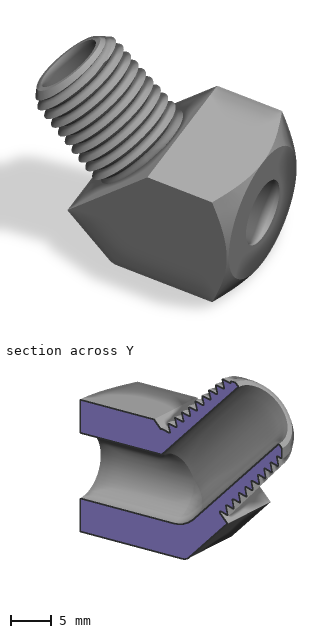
import cadquery as cq
import math

ELBOW_ANGLE = 45.0

BODY_WIDTH = 17.96
BODY_HEIGHT = 17.46
PORT_FACE_X = 14.21
SEAT_DISTANCE = 4.07
HEEL_DISTANCE = 7.54
HEEL_FILLET = 1.5
PORT_CHAMFER_ANGLE = 30.0
PORT_CHAMFER_FACE_RADIUS = BODY_HEIGHT / 2

STUD_LENGTH = 18.3
STUD_END_RADIUS = 5.0
CREST_RADIUS_AT_END = 6.42
TAPER = 1 / 32
PITCH = 25.4 / 18
THREAD_DEPTH = 1.08
THREAD_ANGLE = 60.0
FIRST_ROOT_FROM_END = 0.7
GROOVE_OVERSHOOT = 0.03
CREST_FLAT = 0.04
TURNS_BELOW_FIRST_ROOT = 11
TURNS_PAST_END = 2
STUD_EMBED = 1.0

BORE_RADIUS = 4.3


def incline(shape):
    """Turn a shape built along +Z onto the stud axis."""
    return shape.rotate((0, 0, 0), (0, 1, 0), -ELBOW_ANGLE)


def make_body():
    angle = math.radians(ELBOW_ANGLE)
    top = BODY_HEIGHT / 2
    bottom = -BODY_HEIGHT / 2
    seat_top_x = (top * math.cos(angle) - SEAT_DISTANCE) / math.sin(angle)
    heel_bottom_x = (-HEEL_DISTANCE - bottom * math.sin(angle)) / math.cos(angle)
    corner_x = -SEAT_DISTANCE * math.sin(angle) - HEEL_DISTANCE * math.cos(angle)
    corner_z = SEAT_DISTANCE * math.cos(angle) - HEEL_DISTANCE * math.sin(angle)
    outline = [
        (PORT_FACE_X, bottom),
        (PORT_FACE_X, top),
        (seat_top_x, top),
        (corner_x, corner_z),
        (heel_bottom_x, bottom),
    ]
    body = cq.Workplane("XZ").polyline(outline).close().extrude(BODY_WIDTH / 2, both=True)
    heel_edge = cq.selectors.NearestToPointSelector((heel_bottom_x, 0, bottom))
    body = body.edges("|Y").edges(heel_edge).fillet(HEEL_FILLET)
    return body.intersect(make_port_chamfer_envelope())


def make_port_chamfer_envelope():
    """Cone about X that trims the four corners of the port face."""
    length = 2 * (PORT_FACE_X + STUD_LENGTH)
    back_radius = PORT_CHAMFER_FACE_RADIUS + length / math.tan(math.radians(PORT_CHAMFER_ANGLE))
    cone = cq.Solid.makeCone(
        PORT_CHAMFER_FACE_RADIUS, back_radius, length,
        pnt=cq.Vector(PORT_FACE_X, 0, 0), dir=cq.Vector(-1, 0, 0),
    )
    return cq.Workplane(obj=cone)


def make_thread_groove():
    """Helical groove tapering with the stud, running past both of its ends."""
    turns = TURNS_BELOW_FIRST_ROOT + TURNS_PAST_END
    start = STUD_LENGTH - FIRST_ROOT_FROM_END - TURNS_BELOW_FIRST_ROOT * PITCH
    root_radius = CREST_RADIUS_AT_END - THREAD_DEPTH + (STUD_LENGTH - start) * TAPER
    path = cq.Wire.makeHelix(
        PITCH, turns * PITCH, root_radius,
        center=cq.Vector(0, 0, start), angle=-math.degrees(math.atan(TAPER)),
    )
    half_mouth = (PITCH - CREST_FLAT) / 2
    flank_slope = math.tan(math.radians(THREAD_ANGLE / 2))
    half_root = half_mouth - (THREAD_DEPTH + GROOVE_OVERSHOOT) * flank_slope
    outer_radius = root_radius + THREAD_DEPTH + GROOVE_OVERSHOOT
    profile = (
        cq.Workplane("XZ")
        .moveTo(root_radius, start - half_root)
        .lineTo(outer_radius, start - half_mouth)
        .lineTo(outer_radius, start + half_mouth)
        .lineTo(root_radius, start + half_root)
        .close()
    )
    return profile.sweep(cq.Workplane(obj=path), isFrenet=True)


def make_stud():
    base = SEAT_DISTANCE - STUD_EMBED
    base_radius = CREST_RADIUS_AT_END + (STUD_LENGTH - base) * TAPER
    chamfer = (CREST_RADIUS_AT_END - STUD_END_RADIUS) / (1 - TAPER)
    blank = (
        cq.Workplane("YZ")
        .moveTo(0, base)
        .lineTo(base_radius, base)
        .lineTo(STUD_END_RADIUS + chamfer, STUD_LENGTH - chamfer)
        .lineTo(STUD_END_RADIUS, STUD_LENGTH)
        .lineTo(0, STUD_LENGTH)
        .close()
        .revolve(360, (0, 0), (0, 1))
    )
    return incline(blank.cut(make_thread_groove()))


def make_waterway():
    """Two equal bores joined by a ball where their axes meet."""
    stud_bore = incline(cq.Workplane("XY").circle(BORE_RADIUS).extrude(STUD_LENGTH))
    port_bore = cq.Workplane("YZ").circle(BORE_RADIUS).extrude(PORT_FACE_X)
    return stud_bore.union(port_bore).union(cq.Workplane("XY").sphere(BORE_RADIUS))


result = make_body().union(make_stud()).cut(make_waterway())